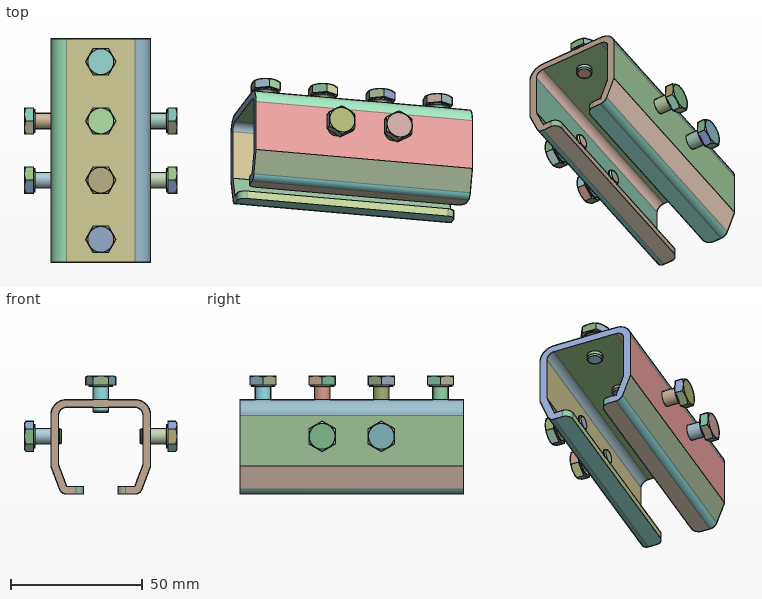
import cadquery as cq
import math

length = 85.0
width = 38.0
height = 36.0
thickness = 3.0
shoulder_radius = 6.0
foot_radius = 3.0
inner_slope_top = 11.2
inner_foot_half_width = 12.9
mouth_width = 13.0
lip_corner_radius = 3.0

shank_diameter = 6.0
tip_diameter = 5.1
tip_chamfer = 0.6
shank_length = 10.0
head_height = 4.0
across_flats = 10.0
collar_diameter = 8.88
collar_height = 0.5
neck_fillet = 0.25
crown_diameter = 9.8
crown_angle = 30.0

bolt_pitch = 22.5
top_bolt_count = 4
side_bolt_count = 2
side_bolt_height = 22.0
top_bolt_reach = 9.0
side_bolt_reach = 10.0
top_bolt_seat = height + top_bolt_reach - head_height
side_bolt_seat = width / 2 + side_bolt_reach - head_height


def row_places(count):
    """Y positions of an evenly spaced row centred on the channel."""
    return [(i - (count - 1) / 2) * bolt_pitch for i in range(count)]


def bolt_planes():
    """Planes on the collar faces, with the normal pointing out through the head."""
    planes = []
    for y in row_places(top_bolt_count):
        planes.append(cq.Plane((0, y, top_bolt_seat), xDir=(1, 0, 0), normal=(0, 0, 1)))
    for side in (-1, 1):
        for y in row_places(side_bolt_count):
            origin = (side * side_bolt_seat, y, side_bolt_height)
            planes.append(cq.Plane(origin, xDir=(0, 0, 1), normal=(side, 0, 0)))
    return planes


def channel_half():
    """The +X half of the bent strip, extruded along Y."""
    outer_x = width / 2
    inner_x = outer_x - thickness
    lip_x = mouth_width / 2
    lean = math.atan2(inner_x - inner_foot_half_width, inner_slope_top - thickness)
    outer_slope_top = inner_slope_top - thickness * math.tan(lean / 2)
    outer_foot_x = inner_foot_half_width + thickness * math.tan((math.pi / 2 - lean) / 2)
    outer = [(0, height), (outer_x, height), (outer_x, outer_slope_top), (outer_foot_x, 0), (lip_x, 0)]
    inner = [
        (lip_x, thickness),
        (inner_foot_half_width, thickness),
        (inner_x, inner_slope_top),
        (inner_x, height - thickness),
        (0, height - thickness),
    ]
    half = cq.Workplane("XZ").polyline(outer + inner).close().extrude(length / 2, both=True)

    def edge_at(x, z):
        """Selector for the edges around one point of the cross-section."""
        reach = 0.1
        low = (x - reach, -length, z - reach)
        high = (x + reach, length, z + reach)
        return cq.selectors.BoxSelector(low, high)

    half = half.edges("|Y").edges(edge_at(outer_x, height)).fillet(shoulder_radius)
    half = half.edges("|Y").edges(edge_at(inner_x, height - thickness)).fillet(shoulder_radius - thickness)
    half = half.edges("|Y").edges(edge_at(outer_foot_x, 0)).fillet(foot_radius)
    return half.edges("|Z").edges(edge_at(lip_x, thickness / 2)).fillet(lip_corner_radius)


def make_channel():
    """Both halves joined, with a matching hole for every bolt shank."""
    half = channel_half()
    channel = half.union(half.mirror("YZ")).clean()
    for plane in bolt_planes():
        hole = cq.Workplane(plane).circle(shank_diameter / 2).extrude(-shank_length)
        channel = channel.cut(hole)
    return channel


def make_bolt(plane):
    """Hexagon bolt: shank below the plane, collar and head above it."""
    corner_radius = across_flats / math.sqrt(3)
    crown_drop = (corner_radius - crown_diameter / 2) * math.tan(math.radians(crown_angle))
    hexagon = (
        cq.Workplane("XY", origin=(0, 0, collar_height))
        .polygon(6, 2 * corner_radius)
        .extrude(head_height - collar_height)
    )
    crown = (
        cq.Workplane("XZ")
        .polyline([
            (0, 0),
            (corner_radius, 0),
            (corner_radius, head_height - crown_drop),
            (crown_diameter / 2, head_height),
            (0, head_height),
        ])
        .close()
        .revolve(360, (0, 0), (0, 1))
    )
    shank_radius = shank_diameter / 2
    tip_radius = tip_diameter / 2
    neck_turn = neck_fillet * (1 - math.sqrt(0.5))
    shank = (
        cq.Workplane("XZ")
        .moveTo(0, -shank_length)
        .lineTo(tip_radius, -shank_length)
        .lineTo(shank_radius, tip_chamfer - shank_length)
        .lineTo(shank_radius, -neck_fillet)
        .threePointArc((shank_radius + neck_turn, -neck_turn), (shank_radius + neck_fillet, 0))
        .lineTo(collar_diameter / 2, 0)
        .lineTo(collar_diameter / 2, collar_height)
        .lineTo(0, collar_height)
        .close()
        .revolve(360, (0, 0), (0, 1))
    )
    bolt = shank.union(hexagon.intersect(crown))
    return bolt.solids().val().moved(cq.Location(plane))


channel = make_channel()
bolts = [make_bolt(plane) for plane in bolt_planes()]

result = cq.Compound.makeCompound([channel.solids().val(), *bolts])